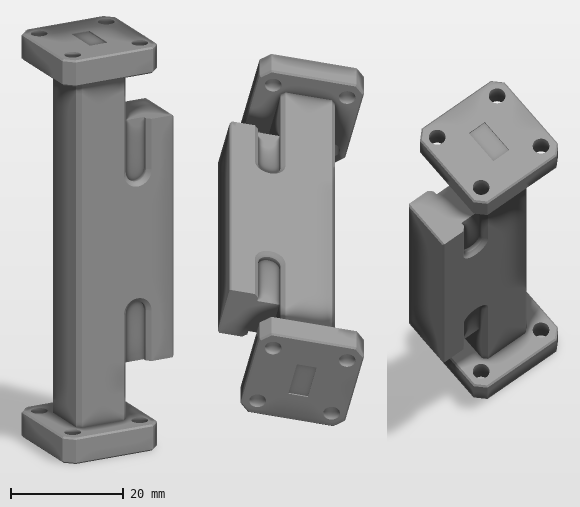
import cadquery as cq

total_length = 76.2

flange_side = 19.05
flange_thickness = 4.95
flange_corner_chamfer = 1.75
flange_rim_chamfer = 0.3
hole_diameter = 3.0
hole_spacing_x = 12.7
hole_spacing_y = 13.5

opening_width = 7.1
opening_height = 3.6
opening_depth = 0.2

body_width = 10.3
body_depth = 10.0
body_edge_chamfer = 0.8

fin_length = 45.7
fin_overhang = 4.8
fin_back_chamfer = 0.3

slot_width = 4.05
slot_straight_length = 9.5
slot_depth = 1.5

body_back_y = body_depth / 2
fin_back_y = flange_side / 2 + fin_overhang
flange_centre_z = (total_length - flange_thickness) / 2
slot_centre_y = body_back_y + slot_width / 2
slot_end_z = fin_length / 2 - slot_straight_length


def make_flange():
    """Upper flange, with its outer face at the top of the part."""
    flange = (
        cq.Workplane("XY")
        .box(flange_side, flange_side, flange_thickness)
        .edges("|Z")
        .chamfer(flange_corner_chamfer)
        .faces("<Z or >Z")
        .edges()
        .chamfer(flange_rim_chamfer)
    )
    flange = (
        flange.faces(">Z")
        .workplane()
        .rect(hole_spacing_x, hole_spacing_y, forConstruction=True)
        .vertices()
        .hole(hole_diameter)
    )
    flange = (
        flange.faces(">Z")
        .workplane()
        .rect(opening_width, opening_height)
        .cutBlind(-opening_depth)
    )
    return flange.translate((0, 0, flange_centre_z))


def make_body():
    """Chamfered bar that joins the inner faces of the flanges."""
    body_length = total_length - 2 * flange_thickness
    return (
        cq.Workplane("XY")
        .box(body_width, body_depth, body_length)
        .edges("|Z")
        .chamfer(body_edge_chamfer)
    )


def make_fin():
    """Plate flush with the body sides, reaching back past the flanges."""
    return (
        cq.Workplane("XY")
        .box(body_width, fin_back_y, fin_length)
        .translate((0, fin_back_y / 2, 0))
        .faces(">Y")
        .edges()
        .chamfer(fin_back_chamfer)
    )


def make_slot():
    """Cutter for the upper slot on the -X side, with a mouth that continues the body bevel."""
    floor_radius = slot_width / 2
    mouth_radius = floor_radius + body_edge_chamfer
    section = [
        (0, 0),
        (0, mouth_radius),
        (body_edge_chamfer, floor_radius),
        (slot_depth, floor_radius),
        (slot_depth, 0),
    ]
    round_end = cq.Workplane("XY").polyline(section).close().revolve(360, (0, 0, 0), (1, 0, 0))
    half_run = cq.Workplane("XY").polyline(section).close().extrude(slot_straight_length)
    cutter = round_end.union(half_run).union(half_run.mirror("XZ"))
    return cutter.translate((-body_width / 2, slot_centre_y, slot_end_z))


fin = make_fin()
upper_left_slot = make_slot()
left_slots = upper_left_slot.union(upper_left_slot.mirror("XY"))
fin = fin.cut(left_slots).cut(left_slots.mirror("YZ"))

flange = make_flange()
result = make_body().union(fin).union(flange).union(flange.mirror("XY"))